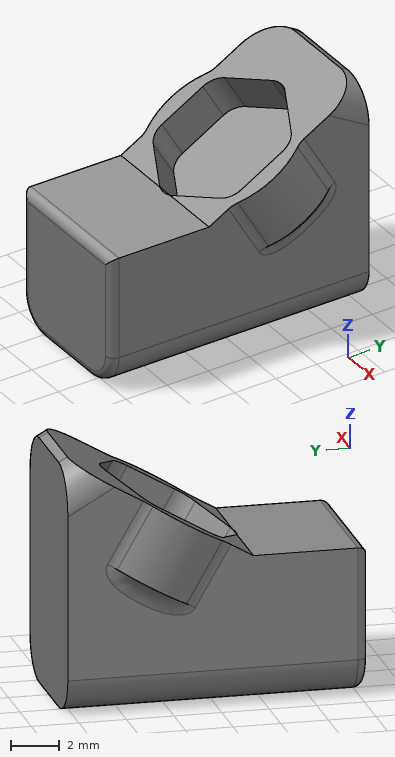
import cadquery as cq
import math

LENGTH = 12.6
WIDTH = 6.6
HEIGHT = 10.7
STEP_HEIGHT = 6.4
SLOPE_ANGLE = 30.0
APEX_SETBACK = 0.37
CORNER_RADIUS = 1.6
NOSE_RADIUS = 0.4

BOSS_DIAMETER = 7.6
BOSS_DEPTH = 3.0
BOSS_SETBACK = 5.01
BLEND_RADIUS = 1.0
SKIRT_STEPS = 12

HEX_ACROSS_FLATS = 5.97
HEX_DEPTH = 2.0
HEX_CORNER_RADIUS = 1.0

slope_tan = math.tan(math.radians(SLOPE_ANGLE))
slope_cos = math.cos(math.radians(SLOPE_ANGLE))
slope_sin = math.sin(math.radians(SLOPE_ANGLE))
back_y = LENGTH / 2
front_y = -LENGTH / 2
apex_y = back_y - APEX_SETBACK
slope_foot_y = apex_y - (HEIGHT - STEP_HEIGHT) / slope_tan
half_width = WIDTH / 2
boss_radius = BOSS_DIAMETER / 2
blend_x = half_width + BLEND_RADIUS
blend_y = math.sqrt((boss_radius + BLEND_RADIUS) ** 2 - blend_x ** 2)
boss_y = back_y - BOSS_SETBACK
boss_z = HEIGHT - (BOSS_SETBACK - APEX_SETBACK) * slope_tan

slope_plane = cq.Plane(
    origin=(0, boss_y, boss_z), xDir=(1, 0, 0), normal=(0, -slope_sin, slope_cos)
)


def make_body():
    """Stepped wedge with rounded lower edges and a softened nose."""
    body = (
        cq.Workplane("YZ")
        .polyline([
            (front_y, 0),
            (back_y, 0),
            (back_y, HEIGHT),
            (apex_y, HEIGHT),
            (slope_foot_y, STEP_HEIGHT),
            (front_y, STEP_HEIGHT),
        ])
        .close()
        .extrude(half_width, both=True)
    )
    body = body.edges("|Y and <Z").fillet(CORNER_RADIUS)
    body = body.faces("<Y").edges().fillet(NOSE_RADIUS)
    return body.intersect(make_bevel_envelope())


def make_bevel_envelope():
    """Tilted block whose rounded top bevels the upper back corner."""
    bevel_plane = cq.Plane(
        origin=(0, apex_y, HEIGHT), xDir=(1, 0, 0), normal=(0, slope_sin, slope_cos)
    )
    reach = 2 * LENGTH
    block = cq.Workplane("XY").box(WIDTH, 2 * reach, reach, centered=(True, True, False))
    block = block.translate((0, 0, -reach)).edges("|Y and >Z").fillet(CORNER_RADIUS)
    return cq.Workplane(block.val().moved(cq.Location(bevel_plane)))


def make_boss():
    """Round boss square to the slope, blended into the sides of the body."""
    touch_ratio = boss_radius / (boss_radius + BLEND_RADIUS)
    touch_x = blend_x * touch_ratio
    touch_y = blend_y * touch_ratio
    mid_angle = math.pi + math.atan2(blend_y, blend_x) / 2
    mid_x = blend_x + BLEND_RADIUS * math.cos(mid_angle)
    mid_y = blend_y + BLEND_RADIUS * math.sin(mid_angle)
    return (
        cq.Workplane(slope_plane)
        .moveTo(half_width, -blend_y)
        .threePointArc((mid_x, -mid_y), (touch_x, -touch_y))
        .threePointArc((boss_radius, 0), (touch_x, touch_y))
        .threePointArc((mid_x, mid_y), (half_width, blend_y))
        .lineTo(-half_width, blend_y)
        .threePointArc((-mid_x, mid_y), (-touch_x, touch_y))
        .threePointArc((-boss_radius, 0), (-touch_x, -touch_y))
        .threePointArc((-mid_x, -mid_y), (-half_width, -blend_y))
        .close()
        .extrude(-BOSS_DEPTH)
    )


def skirt_section(ball_y):
    """Section of the skirt for a blend ball rolled to ball_y along the boss."""
    ball_offset = math.hypot(blend_x, ball_y)
    gap = ball_offset - boss_radius
    drop = math.sqrt(max(BLEND_RADIUS ** 2 - gap ** 2, 0))
    rim_ratio = boss_radius / ball_offset
    ball = cq.Vector(blend_x, ball_y, -BOSS_DEPTH - drop)
    side_touch = ball - cq.Vector(BLEND_RADIUS, 0, 0)
    rim_touch = cq.Vector(blend_x * rim_ratio, ball_y * rim_ratio, -BOSS_DEPTH)
    to_middle = (side_touch + rim_touch) * 0.5 - ball
    arc_middle = ball + to_middle.normalized() * BLEND_RADIUS
    inner = rim_touch - cq.Vector(BLEND_RADIUS, 0, 0)
    return cq.Wire.assembleEdges([
        cq.Edge.makeThreePointArc(side_touch, arc_middle, rim_touch),
        cq.Edge.makeLine(rim_touch, inner),
        cq.Edge.makeLine(inner, side_touch),
    ])


def make_boss_skirts():
    """Underside blends that a ball rolled along the rim and the body side would leave."""
    sections = []
    for step in range(SKIRT_STEPS + 1):
        angle = math.pi * (step / SKIRT_STEPS - 0.5)
        sections.append(skirt_section(blend_y * math.sin(angle)))
    skirt = cq.Workplane(cq.Solid.makeLoft(sections))
    skirts = skirt.union(skirt.mirror("YZ"))
    return cq.Workplane(skirts.val().moved(cq.Location(slope_plane)))


def make_hex_pocket():
    """Round-cornered hexagon with two flats facing the body sides."""
    across_corners = HEX_ACROSS_FLATS / math.cos(math.pi / 6)
    pocket = cq.Workplane("XY").polygon(6, across_corners).extrude(-HEX_DEPTH)
    pocket = pocket.edges("|Z").fillet(HEX_CORNER_RADIUS)
    pocket = pocket.rotate((0, 0, 0), (0, 0, 1), 30)
    return cq.Workplane(pocket.val().moved(cq.Location(slope_plane)))


result = make_body().union(make_boss()).union(make_boss_skirts()).cut(make_hex_pocket())